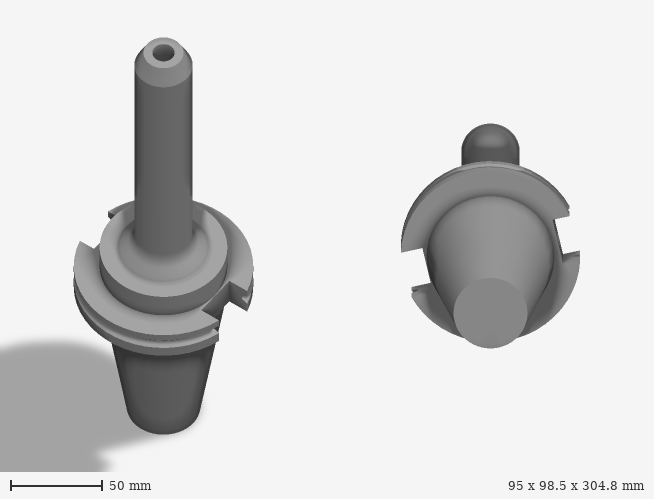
import cadquery as cq
import math

total_height = 304.8
gauge_z = 101.5
flange_bottom_z = 103.3
flange_top_z = 121.0
collar_top_z = 137.0
shank_bottom_z = 150.3

gauge_radius = 35.0
taper_slope = 7 / 48
flange_diameter = 98.5
flange_radius = flange_diameter / 2
collar_radius = 35.0
shank_diameter = 32.0
shank_radius = shank_diameter / 2
tip_radius = 11.0
tip_length = 10.5

neck_angle = math.radians(45)
shank_fillet = 10.0
collar_fillet = 2.0

groove_floor_radius = 45.7
groove_top_z = 116.5
groove_bottom_z = 110.0
groove_wall_height = 1.8

slot_width = 26.0
left_slot_distance = 37.8
right_slot_distance = 35.5

bore_radius = 6.0
bore_depth = 36.5
slot_hole_radius = 5.2
slot_hole_depth = 9.0
slot_hole_z = 113.0


def fillet_point(center_r, center_z, radius, angle):
    """Point on a concave fillet, at an angle below the inward radial direction."""
    return center_r - radius * math.cos(angle), center_z - radius * math.sin(angle)


def turned_body():
    shank_arc = (shank_radius + shank_fillet, shank_bottom_z, shank_fillet)
    cone_top = fillet_point(*shank_arc, neck_angle)

    cone_bottom_z = collar_top_z + collar_fillet * (1 - math.sin(neck_angle))
    cone_bottom_r = cone_top[0] + (cone_top[1] - cone_bottom_z) / math.tan(neck_angle)
    collar_arc = (
        cone_bottom_r + collar_fillet * math.cos(neck_angle),
        collar_top_z + collar_fillet,
        collar_fillet,
    )
    collar_arc_middle = (neck_angle + math.pi / 2) / 2

    profile = (
        cq.Workplane("XZ")
        .lineTo(gauge_radius - gauge_z * taper_slope, 0)
        .lineTo(gauge_radius, gauge_z)
        .lineTo(gauge_radius, flange_bottom_z)
        .lineTo(flange_radius, flange_bottom_z)
        .lineTo(flange_radius, groove_bottom_z)
        .lineTo(groove_floor_radius, groove_bottom_z + groove_wall_height)
        .lineTo(groove_floor_radius, groove_top_z - groove_wall_height)
        .lineTo(flange_radius, groove_top_z)
        .lineTo(flange_radius, flange_top_z)
        .lineTo(collar_radius, flange_top_z)
        .lineTo(collar_radius, collar_top_z)
        .lineTo(collar_arc[0], collar_top_z)
        .threePointArc(fillet_point(*collar_arc, collar_arc_middle), (cone_bottom_r, cone_bottom_z))
        .lineTo(*cone_top)
        .threePointArc(fillet_point(*shank_arc, neck_angle / 2), (shank_radius, shank_bottom_z))
        .lineTo(shank_radius, total_height - tip_length)
        .lineTo(tip_radius, total_height)
        .lineTo(0, total_height)
        .close()
    )
    return profile.revolve(360, (0, 0), (0, 1))


def drive_slot(side, floor_distance):
    """Cutter for one slot through the flange; side is -1 or 1 along X."""
    middle_x = side * (floor_distance + flange_radius) / 2
    return (
        cq.Workplane("XY", origin=(middle_x, 0, flange_bottom_z))
        .rect(flange_radius - floor_distance, slot_width)
        .extrude(flange_top_z - flange_bottom_z)
    )


def tip_bore():
    return cq.Workplane("XY", origin=(0, 0, total_height)).circle(bore_radius).extrude(-bore_depth)


def slot_hole():
    """Blind radial hole in the floor of the -X slot."""
    return (
        cq.Workplane("YZ", origin=(-left_slot_distance, 0, slot_hole_z))
        .circle(slot_hole_radius)
        .extrude(slot_hole_depth)
    )


result = (
    turned_body()
    .cut(drive_slot(-1, left_slot_distance))
    .cut(drive_slot(1, right_slot_distance))
    .cut(tip_bore())
    .cut(slot_hole())
)